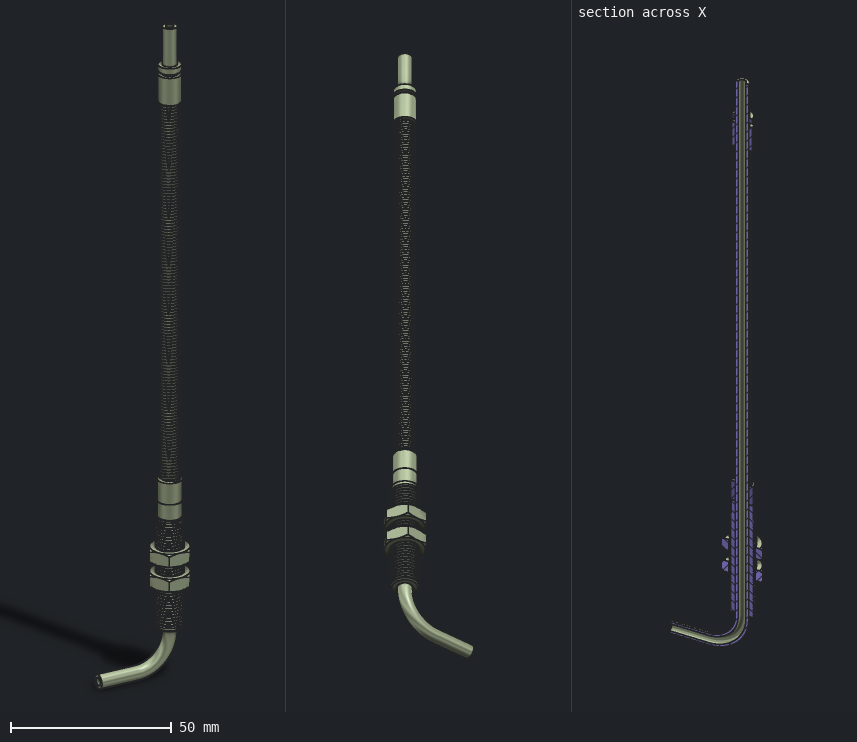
import cadquery as cq
import math

tube_diameter = 4.8
tube_bore = 2.6
tube_stub = 1.3
bend_radius = 12.0
tip_reach = 25.43

thread_diameter = 9.0
thread_length = 38.0
thread_pitch = 1.0667
thread_depth = 0.5
thread_crest_flat = 0.2
thread_root_flat = 0.1
thread_end_margin = 0.8
thread_chamfer = 0.5
thread_tool_overlap = 0.05
shank_diameter = 7.9
shank_length = 5.4

lower_ferrule_diameter = 8.0
lower_ferrule_length = 7.3
hose_diameter = 6.6
hose_length = 129.2
hose_pitch = 1.0167
hose_strip_width = 0.75
upper_ferrule_diameter = 7.5
upper_ferrule_length = 9.4
ring_gap = 1.2
ring_thickness = 2.1
tube_top_length = 12.98

nut_across_flats = 12.74
nut_thickness = 4.5
nut_chamfer_angle = 30.0
nut_bottoms = [14.6, 23.1]

shank_top = thread_length + shank_length
lower_ferrule_top = shank_top + lower_ferrule_length
hose_top = lower_ferrule_top + hose_length
upper_ferrule_top = hose_top + upper_ferrule_length
ring_bottom = upper_ferrule_top + ring_gap
tube_top = ring_bottom + ring_thickness + tube_top_length


def sleeve(outer_diameter, bore, bottom, length):
    """Plain round tube along Z."""
    outer = cq.Workplane("XY").workplane(offset=bottom).circle(outer_diameter / 2)
    return outer.circle(bore / 2).extrude(length)


def build_tube():
    """Tube running the whole length, with a quarter bend toward -Y at its lower end."""
    bend_top = -tube_stub
    bend_bottom = bend_top - bend_radius
    diagonal = bend_radius * math.sqrt(0.5)
    path = (
        cq.Workplane("YZ")
        .moveTo(0, tube_top)
        .lineTo(0, bend_top)
        .threePointArc((diagonal - bend_radius, bend_top - diagonal), (-bend_radius, bend_bottom))
        .lineTo(-tip_reach, bend_bottom)
    )
    section = cq.Workplane("XY").workplane(offset=tube_top)
    return section.circle(tube_diameter / 2).circle(tube_bore / 2).sweep(path)


def build_threaded_sleeve():
    """Sleeve with a helical thread groove along its lower part and a plain shank above."""
    crest_radius = thread_diameter / 2
    root_radius = crest_radius - thread_depth
    tool_radius = crest_radius + thread_tool_overlap
    half_root = thread_root_flat / 2
    half_mouth = (thread_pitch - thread_crest_flat) / 2
    half_tool = half_mouth + (half_mouth - half_root) * thread_tool_overlap / thread_depth

    blank = cq.Workplane("XY").circle(crest_radius).extrude(thread_length)
    blank = blank.faces("<Z").edges().chamfer(thread_chamfer)

    helix = cq.Wire.makeHelix(thread_pitch, thread_length - 2 * thread_end_margin, crest_radius)
    path = cq.Workplane(obj=helix).translate((0, 0, thread_end_margin))
    groove = (
        cq.Workplane("XZ")
        .center(0, thread_end_margin)
        .moveTo(root_radius, -half_root)
        .lineTo(tool_radius, -half_tool)
        .lineTo(tool_radius, half_tool)
        .lineTo(root_radius, half_root)
        .close()
        .sweep(path, isFrenet=True)
    )
    shank = cq.Workplane("XY").workplane(offset=thread_length)
    shank = shank.circle(shank_diameter / 2).extrude(shank_length)
    bore = cq.Workplane("XY").circle(tube_diameter / 2).extrude(shank_top)
    return blank.cut(groove).union(shank).cut(bore)


def build_hose():
    """Flexible hose: a flat strip wound closely around the tube, with a narrow gap between turns."""
    inner_radius = tube_diameter / 2
    strip_thickness = hose_diameter / 2 - inner_radius
    path = cq.Workplane(obj=cq.Wire.makeHelix(hose_pitch, hose_length - hose_strip_width, inner_radius))
    path = path.translate((0, 0, lower_ferrule_top))
    strip = cq.Workplane("XZ").center(
        inner_radius + strip_thickness / 2,
        lower_ferrule_top + hose_strip_width / 2,
    )
    return strip.rect(strip_thickness, hose_strip_width).sweep(path, isFrenet=True)


def build_nut(bottom):
    """Hexagon nut with flats facing +X and -X, chamfered at both ends."""
    across_corners = nut_across_flats / math.cos(math.pi / 6)
    flat_radius = nut_across_flats / 2
    corner_radius = across_corners / 2
    drop = (corner_radius - flat_radius) * math.tan(math.radians(nut_chamfer_angle))
    blank = (
        cq.Workplane("XY")
        .workplane(offset=bottom)
        .transformed(rotate=(0, 0, 90))
        .polygon(6, across_corners)
        .circle(thread_diameter / 2)
        .extrude(nut_thickness)
    )
    envelope = (
        cq.Workplane("XZ")
        .moveTo(0, bottom)
        .lineTo(flat_radius, bottom)
        .lineTo(corner_radius, bottom + drop)
        .lineTo(corner_radius, bottom + nut_thickness - drop)
        .lineTo(flat_radius, bottom + nut_thickness)
        .lineTo(0, bottom + nut_thickness)
        .close()
        .revolve(360, (0, 0, 0), (0, 1, 0))
    )
    return blank.intersect(envelope)


tube = build_tube()
threaded_sleeve = build_threaded_sleeve()
lower_ferrule = sleeve(lower_ferrule_diameter, tube_diameter, shank_top, lower_ferrule_length)
hose = build_hose()
upper_ferrule = sleeve(upper_ferrule_diameter, tube_diameter, hose_top, upper_ferrule_length)
ring = sleeve(upper_ferrule_diameter, tube_diameter, ring_bottom, ring_thickness)
nuts = [build_nut(bottom) for bottom in nut_bottoms]

result = cq.Compound.makeCompound(
    [
        tube.val(),
        threaded_sleeve.val(),
        lower_ferrule.val(),
        hose.val(),
        upper_ferrule.val(),
        ring.val(),
        *[nut.val() for nut in nuts],
    ]
)